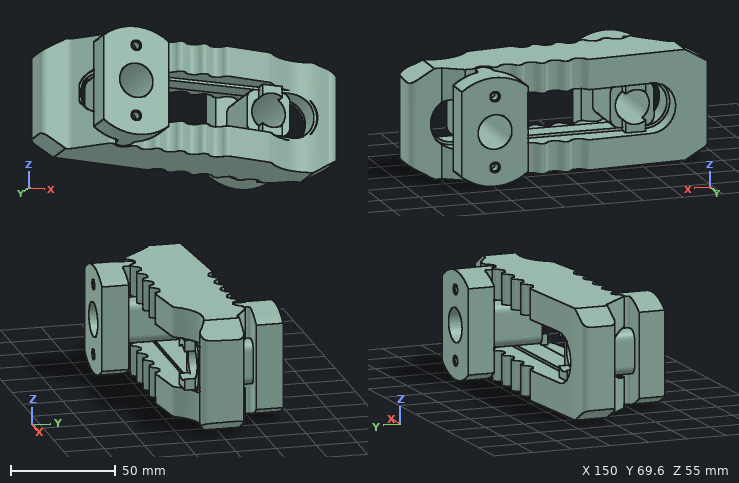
import cadquery as cq
import math

BODY_HEIGHT = 55.0
BODY_LENGTH = 150.0
LEFT_X = -75.5
RIGHT_X = LEFT_X + BODY_LENGTH
CREST_Y = 17.8
LEFT_END_TOP_Y = 14.7
LEFT_END_BOTTOM_Y = -2.1
LEFT_SHOULDER_X = -61.4
TOP_SLOPE_END_X = -16.6
STEEP_SLOPE_END_X = -46.6
BOTTOM_SLOPE_START_X = 15.0
TOP_RAMP_START_X = 48.9
TOP_RAMP_END_X = 58.6
RIGHT_END_TOP_Y = 11.4
TIP_BOTTOM_Y = -9.9
TIP_TAPER = 0.8
TAPER_START_Y = 3.0

THUMB_RADIUS = 21.0
THUMB_X = 55.4
THUMB_APEX_Y = -5.1
THUMB_START_X = 37.5

LEFT_END_RADIUS = 3.3
SHOULDER_RADIUS = 3.5
RIGHT_TOP_RADIUS = 3.8
TIP_INNER_RADIUS = 2.7
TIP_OUTER_RADIUS = 3.9
THUMB_EDGE_RADIUS = 3.3
STEEP_CREST_RADIUS = 2.4

BEVEL_LENGTH = 12.2
BEVEL_DROP = 7.0

GROOVE_COUNT = 5
GROOVE_PITCH = 12.0
GROOVE_DEPTH = 3.6
GROOVE_SHARE = 0.63

SLOT_WIDTH = 22.0
KEYWAY_WIDTH = 24.9
SLOT_START_X = -45.9
SLOT_END_X = 51.8
WEB_HALF_THICKNESS = 5.8

JAW_X = 39.5
HEAD_OUTER_Y = 34.8
HEAD_INNER_Y = 21.5
HEAD_DIAMETER = 54.0
HEAD_WIDTH = 33.5
NECK_CORNER_RADIUS = 4.6
KEY_WIDTH = 10.0
KEY_LENGTH = 5.2
BORE_DIAMETER = 17.1
RIB_RADIUS = 4.0
RIB_ROOT_RADIUS = 1.4
PIN_HOLE_DIAMETER = 3.9
PIN_HOLE_CHAMFER = 0.6
PIN_HOLE_DEPTH = 6.0
PIN_HOLE_OFFSET = 17.5
DRILL_POINT_ANGLE = 90.0

GROOVE_FLOOR_Y = CREST_Y - GROOVE_DEPTH
RIB_AXIS_Y = GROOVE_FLOOR_Y + RIB_RADIUS
THUMB_AXIS_Y = THUMB_APEX_Y - THUMB_RADIUS


def thumb_y(x):
    """Y of the thumb rest surface at a given X."""
    return THUMB_AXIS_Y + math.sqrt(THUMB_RADIUS**2 - (x - THUMB_X) ** 2)


def thumb_end_x():
    """X where the thumb rest arc reaches the flat bottom of the tip."""
    return THUMB_X + math.sqrt(THUMB_RADIUS**2 - (TIP_BOTTOM_Y - THUMB_AXIS_Y) ** 2)


def round_corner(solid, x, y, radius):
    """Fillet the Z-parallel edge of the profile closest to (x, y)."""
    nearest = cq.selectors.NearestToPointSelector((x, y, 0))
    return solid.edges("|Z").edges(nearest).fillet(radius)


def add_teeth(outline, side):
    """Continue the outline along one toothed side: +1 runs toward +X at +Y, -1 toward -X at -Y."""
    flank_width = GROOVE_PITCH / 2
    flank_angle = 2 * math.atan(GROOVE_DEPTH / flank_width)
    crest_half_width = (1 - GROOVE_SHARE) * flank_width
    crest_radius = crest_half_width / math.sin(flank_angle)
    blend_y = CREST_Y - crest_radius * (1 - math.cos(flank_angle))
    mid_x = crest_radius * math.sin(flank_angle / 2)
    mid_y = CREST_Y - crest_radius * (1 - math.cos(flank_angle / 2))

    first_crest = JAW_X - (GROOVE_COUNT - 0.5) * GROOVE_PITCH
    last_crest = JAW_X + GROOVE_PITCH / 2

    def arc(through, end):
        return outline.threePointArc((side * through[0], side * through[1]), (side * end[0], side * end[1]))

    outline = outline.lineTo(side * first_crest, side * CREST_Y)
    outline = arc((first_crest + mid_x, mid_y), (first_crest + crest_half_width, blend_y))
    for i in range(GROOVE_COUNT):
        crest = first_crest + (i + 1) * GROOVE_PITCH
        outline = arc((crest - flank_width, GROOVE_FLOOR_Y), (crest - crest_half_width, blend_y))
        if i < GROOVE_COUNT - 1:
            outline = arc((crest, CREST_Y), (crest + crest_half_width, blend_y))
    return arc((last_crest - mid_x, mid_y), (last_crest, CREST_Y))


def body_blank():
    tip_x = RIGHT_X - TIP_TAPER
    blank = (
        cq.Workplane("XY", origin=(0, 0, -BODY_HEIGHT / 2))
        .moveTo(LEFT_X, LEFT_END_BOTTOM_Y)
        .lineTo(LEFT_X, LEFT_END_TOP_Y)
        .lineTo(LEFT_SHOULDER_X, LEFT_END_TOP_Y)
        .lineTo(TOP_SLOPE_END_X, CREST_Y)
    )
    blank = (
        add_teeth(blank, 1)
        .lineTo(TOP_RAMP_START_X, CREST_Y)
        .lineTo(TOP_RAMP_END_X, RIGHT_END_TOP_Y)
        .lineTo(RIGHT_X, RIGHT_END_TOP_Y)
        .lineTo(RIGHT_X, TAPER_START_Y)
        .lineTo(tip_x, TIP_BOTTOM_Y)
        .lineTo(thumb_end_x(), TIP_BOTTOM_Y)
        .threePointArc((THUMB_X, THUMB_APEX_Y), (THUMB_START_X, thumb_y(THUMB_START_X)))
        .lineTo(BOTTOM_SLOPE_START_X, -CREST_Y)
    )
    blank = (
        add_teeth(blank, -1)
        .lineTo(STEEP_SLOPE_END_X, -CREST_Y)
        .lineTo(LEFT_SHOULDER_X, LEFT_END_BOTTOM_Y)
        .close()
        .extrude(BODY_HEIGHT)
    )
    corners = [
        (LEFT_X, LEFT_END_TOP_Y, LEFT_END_RADIUS),
        (LEFT_X, LEFT_END_BOTTOM_Y, LEFT_END_RADIUS),
        (LEFT_SHOULDER_X, LEFT_END_BOTTOM_Y, SHOULDER_RADIUS),
        (STEEP_SLOPE_END_X, -CREST_Y, STEEP_CREST_RADIUS),
        (RIGHT_X, RIGHT_END_TOP_Y, RIGHT_TOP_RADIUS),
        (tip_x, TIP_BOTTOM_Y, TIP_OUTER_RADIUS),
        (thumb_end_x(), TIP_BOTTOM_Y, TIP_INNER_RADIUS),
        (THUMB_START_X, thumb_y(THUMB_START_X), THUMB_EDGE_RADIUS),
    ]
    for x, y, radius in corners:
        blank = round_corner(blank, x, y, radius)
    return blank


def bevel_ends(solid):
    """Trim the body to an octagon in the XZ plane."""
    half_height = BODY_HEIGHT / 2
    end_half_height = half_height - BEVEL_DROP
    bevel_left = LEFT_X + BEVEL_LENGTH
    bevel_right = RIGHT_X - BEVEL_LENGTH
    octagon = (
        cq.Workplane("XZ")
        .moveTo(LEFT_X, end_half_height)
        .lineTo(bevel_left, half_height)
        .lineTo(bevel_right, half_height)
        .lineTo(RIGHT_X, end_half_height)
        .lineTo(RIGHT_X, -end_half_height)
        .lineTo(bevel_right, -half_height)
        .lineTo(bevel_left, -half_height)
        .lineTo(LEFT_X, -end_half_height)
        .close()
        .extrude(CREST_Y, both=True)
    )
    return solid.intersect(octagon)


def slot_cutter(width, start_y, end_y):
    """A round-ended slot along X that runs from start_y to end_y."""
    length = SLOT_END_X - SLOT_START_X + width
    return (
        cq.Workplane("XZ", origin=((SLOT_START_X + SLOT_END_X) / 2, start_y, 0))
        .slot2D(length, width)
        .extrude(start_y - end_y)
    )


def make_body():
    body = bevel_ends(body_blank())
    body = body.cut(slot_cutter(SLOT_WIDTH, -HEAD_OUTER_Y, HEAD_OUTER_Y))
    body = body.cut(slot_cutter(KEYWAY_WIDTH, WEB_HALF_THICKNESS, HEAD_OUTER_Y))
    return body.cut(slot_cutter(KEYWAY_WIDTH, -HEAD_OUTER_Y, -WEB_HALF_THICKNESS))


def jaw_plane(y):
    """Work plane across the jaw axis; a negative extrusion runs toward +Y."""
    return cq.Workplane("XZ", origin=(JAW_X, y, 0))


def jaw_head():
    thickness = HEAD_OUTER_Y - HEAD_INNER_Y
    disc = jaw_plane(HEAD_INNER_Y).circle(HEAD_DIAMETER / 2).extrude(-thickness)
    flats = jaw_plane(HEAD_INNER_Y).rect(HEAD_WIDTH, HEAD_DIAMETER).extrude(-thickness)
    return disc.intersect(flats)


def jaw_rib():
    """Detent rib under the head, shaped to fill one groove."""
    root_y = HEAD_INNER_Y - RIB_ROOT_RADIUS
    root_half_width = RIB_RADIUS + RIB_ROOT_RADIUS
    root_mid_x = root_half_width - RIB_ROOT_RADIUS * math.sin(math.pi / 4)
    root_mid_y = root_y + RIB_ROOT_RADIUS * math.cos(math.pi / 4)
    rib = (
        cq.Workplane("XY", origin=(JAW_X, 0, -HEAD_DIAMETER / 2))
        .moveTo(-root_half_width, HEAD_INNER_Y)
        .threePointArc((-root_mid_x, root_mid_y), (-RIB_RADIUS, root_y))
        .lineTo(-RIB_RADIUS, RIB_AXIS_Y)
        .threePointArc((0, GROOVE_FLOOR_Y), (RIB_RADIUS, RIB_AXIS_Y))
        .lineTo(RIB_RADIUS, root_y)
        .threePointArc((root_mid_x, root_mid_y), (root_half_width, HEAD_INNER_Y))
        .close()
        .extrude(HEAD_DIAMETER)
    )
    return rib.intersect(jaw_plane(0).circle(HEAD_DIAMETER / 2).extrude(-HEAD_OUTER_Y))


def jaw_neck():
    """Rounded square neck through the slot."""
    length = HEAD_INNER_Y + WEB_HALF_THICKNESS
    return (
        jaw_plane(-WEB_HALF_THICKNESS)
        .rect(SLOT_WIDTH, SLOT_WIDTH)
        .extrude(-length)
        .edges("|Y")
        .fillet(NECK_CORNER_RADIUS)
    )


def jaw_key():
    """Bar across the neck end that hooks behind the web in the opposite keyway."""
    return jaw_plane(-WEB_HALF_THICKNESS).rect(KEY_WIDTH, KEYWAY_WIDTH).extrude(KEY_LENGTH)


def pin_hole(z):
    """Blind drilled hole, with a conical end, in the outer face of the head."""
    radius = PIN_HOLE_DIAMETER / 2
    point_depth = radius / math.tan(math.radians(DRILL_POINT_ANGLE / 2))
    return (
        cq.Workplane("XY", origin=(JAW_X, HEAD_OUTER_Y, z))
        .lineTo(radius + PIN_HOLE_CHAMFER, 0)
        .lineTo(radius, -PIN_HOLE_CHAMFER)
        .lineTo(radius, -PIN_HOLE_DEPTH)
        .lineTo(0, -PIN_HOLE_DEPTH - point_depth)
        .close()
        .revolve(360, (0, 0, 0), (0, 1, 0))
    )


def make_jaw():
    """The +Y jaw."""
    jaw = jaw_head().union(jaw_neck()).union(jaw_rib()).union(jaw_key())
    jaw = jaw.cut(jaw_plane(-HEAD_OUTER_Y).circle(BORE_DIAMETER / 2).extrude(-2 * HEAD_OUTER_Y))
    for z in (PIN_HOLE_OFFSET, -PIN_HOLE_OFFSET):
        jaw = jaw.cut(pin_hole(z))
    return jaw


body = make_body()
jaws = [make_jaw().rotate((0, 0, 0), (0, 0, 1), angle) for angle in (0, 180)]

result = cq.Compound.makeCompound([body.val(), *[jaw.val() for jaw in jaws]])